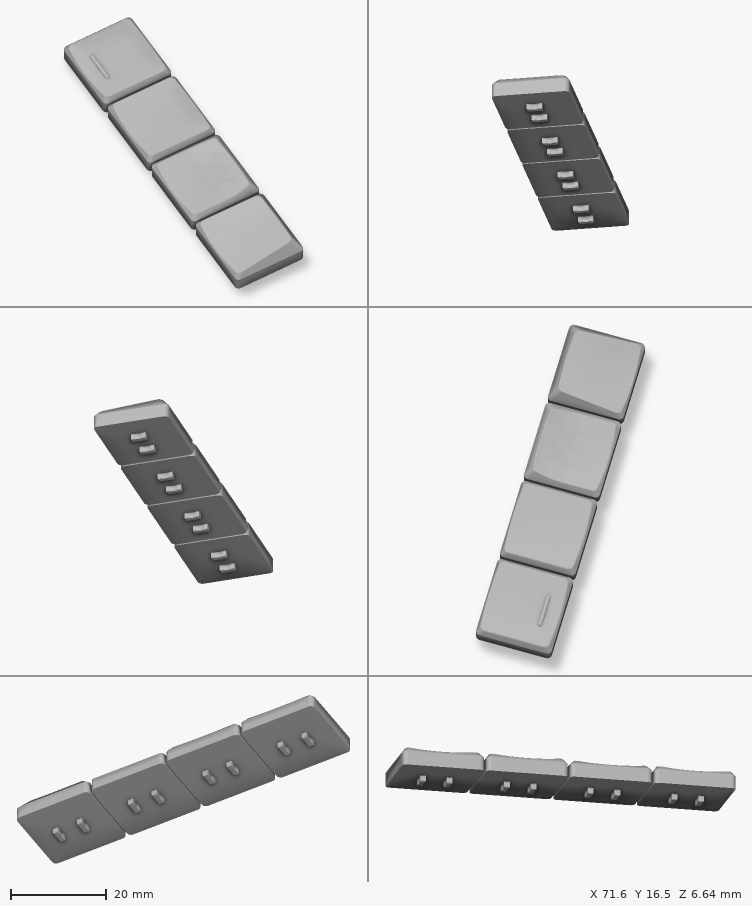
import cadquery as cq
import math

row_length = 71.6
cap_width = 17.55
cap_depth = 16.5
cap_count = 4
cap_pitch = (row_length - cap_width) / (cap_count - 1)

skirt_height = 2.9
corner_radius = 1.0
shoulder_height = 3.6

shoulder_angle = 36.0
curled_shoulder_angle = 45.0
top_corner_radius = 1.35
curled_top_corner_radius = 0.15

rim_radius = 0.4
fine_rim_radius = 0.2

dish_radius = 50.1
flat_dish_height = 3.5
curled_dish_height = 3.3
tilted_dish_height = 4.2
dish_tilt = 6.6
curl_radius = 26.5
curl_angle = 25.0
trough_margin = 0.7
trough_height = 14.3

bar_length = 7.45
bar_radius = 0.54
bar_top = 3.95
bar_y = -4.3

leg_spacing = 5.7
leg_width = 1.2
leg_depth = 3.2
leg_height = 1.3
leg_edge_chamfer = 0.15
waist_depth = 0.15
waist_mouth = 1.7
waist_floor = 0.6


def rounded_rectangle(inset, radius):
    """Cap outline shrunk by inset on every side, with rounded corners."""
    return cq.Sketch().rect(cap_width - 2 * inset, cap_depth - 2 * inset).vertices().fillet(radius)


def blank(angle, upper_corner_radius):
    """Straight skirt carrying a shoulder that leans inward by angle from vertical."""
    inset = shoulder_height * math.tan(math.radians(angle))
    base = rounded_rectangle(0, corner_radius)
    top = rounded_rectangle(inset, upper_corner_radius).moved(cq.Location(cq.Vector(0, 0, shoulder_height)))
    skirt = cq.Workplane("XY").placeSketch(base).extrude(skirt_height)
    shoulder = cq.Workplane("XY", origin=(0, 0, skirt_height)).placeSketch(base, top).loft(ruled=True)
    return skirt.union(shoulder)


def trough_profile():
    """Cross-section of the space above a dish, with the lowest point of its arc at the origin."""
    half_width = cap_width / 2 + trough_margin
    rim_height = dish_radius - math.sqrt(dish_radius**2 - half_width**2)
    return (
        cq.Workplane("XZ")
        .moveTo(-half_width, trough_height)
        .lineTo(-half_width, rim_height)
        .threePointArc((0, 0), (half_width, rim_height))
        .lineTo(half_width, trough_height)
        .close()
    )


def straight_trough(height, tilt):
    """Cutter for a straight dish passing the given height at Y = 0 and rising by tilt toward +Y."""
    return (
        trough_profile()
        .extrude(cap_depth, both=True)
        .rotate((0, 0, 0), (1, 0, 0), tilt)
        .translate((0, 0, height))
    )


def curling_trough(height):
    """Cutter for a dish that is level in front of Y = 0 and curls smoothly upward behind it."""
    front = trough_profile().extrude(cap_depth)
    back = trough_profile().revolve(curl_angle, (0, curl_radius), (1, curl_radius))
    return front.union(back).translate((0, 0, height))


def round_rim(cap, radius):
    """Round the edge between the dish and the shoulder, but not the line across a two-part dish."""
    middle = cq.selectors.BoxSelector(
        (-cap_width / 4, -cap_depth / 4, skirt_height),
        (cap_width / 4, cap_depth / 4, skirt_height + shoulder_height),
    )
    return cap.faces(middle).edges(-middle).fillet(radius)


def leg():
    """Switch leg centred on the origin in plan, with a shallow waist in both broad sides."""
    half_width = leg_width / 2
    half_depth = leg_depth / 2
    floor_x = half_width - waist_depth
    right_side = [
        (half_width, -half_depth),
        (half_width, -waist_mouth / 2),
        (floor_x, -waist_floor / 2),
        (floor_x, waist_floor / 2),
        (half_width, waist_mouth / 2),
        (half_width, half_depth),
    ]
    left_side = [(-x, y) for x, y in reversed(right_side)]
    return (
        cq.Workplane("XY")
        .polyline(right_side + left_side)
        .close()
        .extrude(-leg_height)
        .faces("<Z")
        .edges("<X or >X or <Y or >Y")
        .chamfer(leg_edge_chamfer)
    )


def homing_bar():
    """Round-ended bar along X, sunk in the dish so that only its crest stands out."""
    half_straight = bar_length / 2 - bar_radius
    bar = cq.Workplane("YZ").circle(bar_radius).extrude(half_straight, both=True)
    for x in (-half_straight, half_straight):
        bar = bar.union(cq.Workplane("XY").sphere(bar_radius).translate((x, 0, 0)))
    return bar.translate((0, bar_y, bar_top - bar_radius))


def add_legs(cap):
    """Join the pair of switch legs under the cap."""
    for x in (-leg_spacing / 2, leg_spacing / 2):
        cap = cap.union(leg().translate((x, 0, 0)))
    return cap


def place_in_row(cap, position):
    """Move a cap to its place in the row, counted from 0 at the -X end."""
    return cap.translate(((position - (cap_count - 1) / 2) * cap_pitch, 0, 0))


def flat_keycap():
    """Low cap with a level dish."""
    dished = blank(shoulder_angle, top_corner_radius).cut(straight_trough(flat_dish_height, 0))
    return add_legs(round_rim(dished, rim_radius))


def homing_keycap():
    """Low cap with a level dish and a homing bar."""
    return flat_keycap().union(homing_bar())


def curled_keycap():
    """Cap whose dish is level in front and curls upward behind its middle."""
    dished = blank(curled_shoulder_angle, curled_top_corner_radius).cut(curling_trough(curled_dish_height))
    return add_legs(round_rim(dished, fine_rim_radius))


def tilted_keycap():
    """Tall cap whose whole dish rises toward the back."""
    dished = blank(shoulder_angle, top_corner_radius).cut(straight_trough(tilted_dish_height, dish_tilt))
    return add_legs(round_rim(dished, fine_rim_radius))


homing_cap = place_in_row(homing_keycap(), 0)
flat_cap = place_in_row(flat_keycap(), 1)
curled_cap = place_in_row(curled_keycap(), 2)
tilted_cap = place_in_row(tilted_keycap(), 3)

result = cq.Compound.makeCompound(
    [homing_cap.val(), flat_cap.val(), curled_cap.val(), tilted_cap.val()]
)